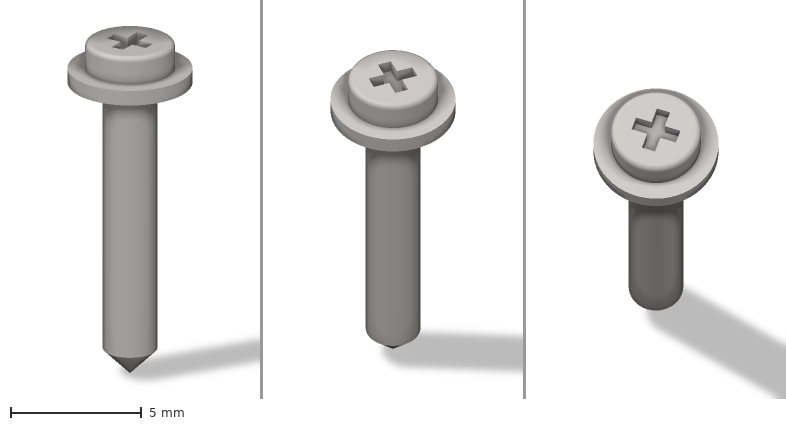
import cadquery as cq

total_length = 13.7
shank_diameter = 2.1
head_diameter = 3.44
head_height = 1.1
head_fillet = 0.2
flange_diameter = 4.8
flange_thickness = 0.6
recess_span = 1.8
recess_arm_width = 0.53
recess_depth = 0.5

shank_radius = shank_diameter / 2
tip_height = shank_radius
flange_top = total_length - head_height
flange_bottom = flange_top - flange_thickness


def make_shank():
    """Pointed shank, revolved about Z from its half profile."""
    return (
        cq.Workplane("XZ")
        .moveTo(0, 0)
        .lineTo(shank_radius, tip_height)
        .lineTo(shank_radius, flange_bottom)
        .lineTo(0, flange_bottom)
        .close()
        .revolve(360, (0, 0, 0), (0, 1, 0))
    )


def make_flange():
    """Washer-like flange under the head."""
    base = cq.Workplane("XY", origin=(0, 0, flange_bottom))
    return base.circle(flange_diameter / 2).extrude(flange_thickness)


def make_head():
    """Cylindrical head with a rounded top edge."""
    head = cq.Workplane("XY", origin=(0, 0, flange_top)).circle(head_diameter / 2).extrude(head_height)
    return head.faces(">Z").edges().fillet(head_fillet)


def make_recess():
    """Flat-bottomed cross drive recess, open at the top of the head."""
    top = cq.Workplane("XY", origin=(0, 0, total_length))
    arm_x = top.rect(recess_span, recess_arm_width).extrude(-recess_depth)
    arm_y = top.rect(recess_arm_width, recess_span).extrude(-recess_depth)
    return arm_x.union(arm_y)


result = make_shank().union(make_flange()).union(make_head()).cut(make_recess())